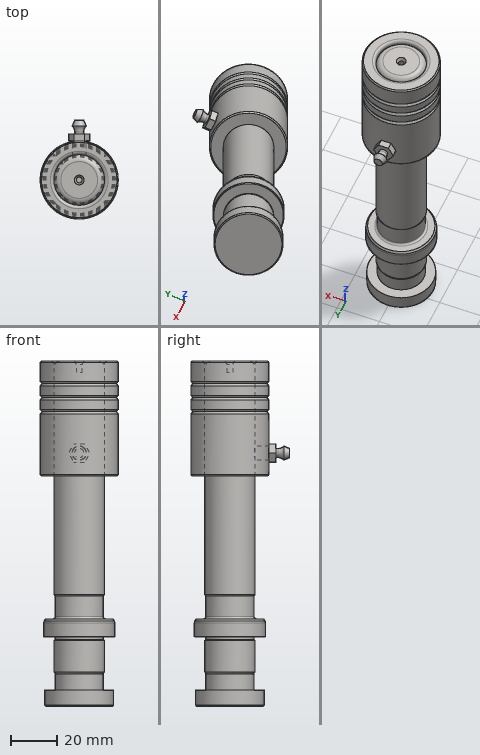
import cadquery as cq
import math

total_height = 150.0

post_radius = 11.0
post_bottom = 14.0
post_end_chamfer = 1.0
post_crown_radius = 3.0

relief_radius = 10.5
relief_chamfer = post_radius - relief_radius
upper_relief_top = 48.5
lower_relief_width = 1.5

collar_radius = 15.5
collar_bottom = 30.0
collar_top = 38.0
collar_chamfer_height = 0.9
collar_chamfer_width = 0.7
collar_taper_height = 0.9
collar_taper_width = 0.2
collar_bottom_chamfer = 0.4
collar_root_fillet = 1.0

center_mouth_radius = 2.1
center_drill_radius = 1.25
center_drill_depth = 5.0
center_cone_angle = 60.0

retainer_radius = 15.0
retainer_thickness = 7.0
retainer_chamfer = 0.5
retainer_neck_radius = relief_radius

bushing_radius = 17.0
bushing_length = 50.0
bushing_bottom = total_height - bushing_length
bushing_chamfer = 0.6
bore_lead_in = 1.5

groove_depth = 0.9
groove_half_width = 1.0
groove_pitch = 6.1
groove_count = 3
first_groove_z = 140.2

nipple_z = bushing_bottom + 10.0
hex_flats = 8.0
hex_corners = hex_flats / math.cos(math.radians(30))
hex_thickness = 3.0
hex_outer_y = bushing_radius + hex_thickness
shank_radius = 3.0
nipple_neck_radius = 2.0
nipple_neck_end_y = 20.9
nipple_head_radius = 3.1
nipple_head_y = 23.5
nipple_tip_radius = 2.0
nipple_tip_y = 26.0

flare_length = nipple_head_y - nipple_neck_end_y
flare_rise = nipple_head_radius - nipple_neck_radius
flare_radius = (flare_length**2 + flare_rise**2) / (2 * flare_rise)


def revolve_outline(outline):
    """Close an outline and turn it about the vertical axis of its own plane."""
    return outline.close().revolve(360, (0, 0, 0), (0, 1, 0))


def upright_cylinder(radius, bottom, height):
    return cq.Workplane("XY", origin=(0, 0, bottom)).circle(radius).extrude(height)


def cylinder_along_y(radius, start_y, end_y):
    """Cylinder on the nipple axis, pointing toward +Y."""
    return cq.Workplane("XZ", origin=(0, start_y, nipple_z)).circle(radius).extrude(start_y - end_y)


def make_center_hole():
    cone_depth = (center_mouth_radius - center_drill_radius) / math.tan(math.radians(center_cone_angle / 2))
    outline = (
        cq.Workplane("XZ")
        .moveTo(0, total_height)
        .lineTo(center_mouth_radius, total_height)
        .lineTo(center_drill_radius, total_height - cone_depth)
        .lineTo(center_drill_radius, total_height - center_drill_depth)
        .lineTo(0, total_height - center_drill_depth)
    )
    return revolve_outline(outline)


def make_post():
    lower_relief_bottom = collar_bottom - lower_relief_width
    taper_top_radius = collar_radius - collar_taper_width
    taper_top = collar_top - collar_chamfer_height
    outline = (
        cq.Workplane("XZ")
        .moveTo(0, post_bottom)
        .lineTo(post_radius - post_end_chamfer, post_bottom)
        .lineTo(post_radius, post_bottom + post_end_chamfer)
        .lineTo(post_radius, lower_relief_bottom)
        .lineTo(relief_radius, lower_relief_bottom + relief_chamfer)
        .lineTo(relief_radius, collar_bottom)
        .lineTo(collar_radius - collar_bottom_chamfer, collar_bottom)
        .lineTo(collar_radius, collar_bottom + collar_bottom_chamfer)
        .lineTo(collar_radius, taper_top - collar_taper_height)
        .lineTo(taper_top_radius, taper_top)
        .lineTo(taper_top_radius - collar_chamfer_width, collar_top)
        .lineTo(relief_radius + collar_root_fillet, collar_top)
        .radiusArc((relief_radius, collar_top + collar_root_fillet), collar_root_fillet)
        .lineTo(relief_radius, upper_relief_top - relief_chamfer)
        .lineTo(post_radius, upper_relief_top)
        .lineTo(post_radius, total_height - post_crown_radius)
        .radiusArc((post_radius - post_crown_radius, total_height), -post_crown_radius)
        .lineTo(0, total_height)
    )
    return revolve_outline(outline).cut(make_center_hole())


def make_retainer():
    disc = upright_cylinder(retainer_radius, 0, retainer_thickness)
    disc = disc.faces("<Z").chamfer(retainer_chamfer)
    neck = upright_cylinder(retainer_neck_radius, 0, post_bottom)
    return disc.union(neck)


def make_groove(center_z):
    outline = (
        cq.Workplane("XZ")
        .moveTo(bushing_radius, center_z - groove_half_width)
        .lineTo(bushing_radius - groove_depth, center_z)
        .lineTo(bushing_radius, center_z + groove_half_width)
    )
    return revolve_outline(outline)


def make_bushing():
    body = upright_cylinder(bushing_radius, bushing_bottom, bushing_length)
    body = body.faces("<Z or >Z").edges().chamfer(bushing_chamfer)
    body = body.cut(upright_cylinder(post_radius, bushing_bottom, bushing_length))

    body = body.faces(">Z").edges(cq.selectors.RadiusNthSelector(0)).fillet(bore_lead_in)

    for index in range(groove_count):
        body = body.cut(make_groove(first_groove_z - index * groove_pitch))

    return body.cut(cylinder_along_y(shank_radius, 0, hex_outer_y))


def make_nipple():
    hexagon = (
        cq.Workplane("XZ", origin=(0, bushing_radius, nipple_z))
        .polygon(6, hex_corners)
        .extrude(-hex_thickness)
    )

    shank = cylinder_along_y(shank_radius, 0, hex_outer_y)
    shank = shank.cut(upright_cylinder(post_radius, bushing_bottom, bushing_length))

    head_outline = (
        cq.Workplane("XY", origin=(0, 0, nipple_z))
        .moveTo(0, hex_outer_y)
        .lineTo(nipple_neck_radius, hex_outer_y)
        .lineTo(nipple_neck_radius, nipple_neck_end_y)
        .radiusArc((nipple_head_radius, nipple_head_y), flare_radius)
        .lineTo(nipple_tip_radius, nipple_tip_y)
        .lineTo(0, nipple_tip_y)
    )
    head = revolve_outline(head_outline)
    return hexagon.union(shank).union(head)


post = make_post()
retainer = make_retainer()
bushing = make_bushing()
nipple = make_nipple()

result = cq.Compound.makeCompound([post.val(), retainer.val(), bushing.val(), nipple.val()])